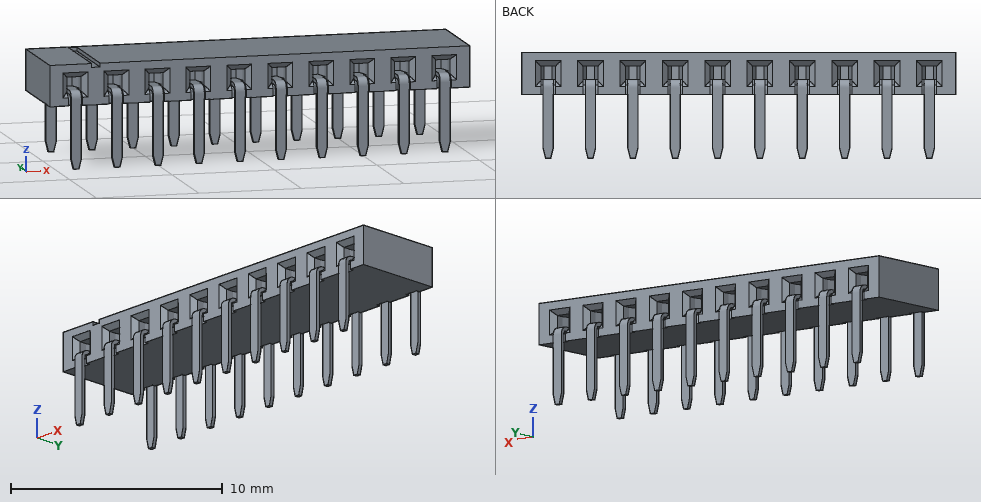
import cadquery as cq

length = 20.5
width = 4.5
height = 1.99

pin_count = 10
end_margin = 1.25
pitch = (length - 2 * end_margin) / (pin_count - 1)
pin_width = 0.5
pin_thickness = 0.195
pin_bottom = -3.01
pin_top = 0.72
bend_radius = pin_thickness * 2
tip_width = 0.25
tip_height = 0.5

funnel_size = 1.2
throat_size = 0.7
funnel_depth = (funnel_size - throat_size) / 2
throat_depth = 0.4
taper_end_width = 0.37
taper_depth = 0.65

slot_depth = 0.18
slot_floor = 0.45
slot_radius = 0.25

groove_width = 0.4
groove_depth = 0.18
groove_end_wall = 0.2

front = -width / 2
throat_start = front + funnel_depth
taper_start = throat_start + throat_depth
taper_end = taper_start + taper_depth
funnel_z = height / 2
throat_top = funnel_z + throat_size / 2
first_pin_x = end_margin - length / 2


def extrude_across(profile, thickness):
    """Extrude a closed (Y, Z) profile symmetrically about X = 0."""
    return profile.extrude(thickness / 2, both=True)


def make_block(size_x, y_start, y_end, z_start, z_end):
    """Box centred on X = 0 between the given Y and Z limits."""
    block = cq.Workplane("XY").box(size_x, y_end - y_start, z_end - z_start, centered=(True, False, False))
    return block.translate((0, y_start, z_start))


def make_cavity():
    """Empty space around one contact of the -Y row, at X = 0."""
    funnel = (
        cq.Workplane("XZ", origin=(0, front, funnel_z))
        .rect(funnel_size, funnel_size)
        .workplane(offset=-funnel_depth)
        .rect(throat_size, throat_size)
        .loft(ruled=True)
    )
    throat = make_block(throat_size, front, taper_start, slot_floor, throat_top)
    taper = (
        cq.Workplane("XY", origin=(0, 0, pin_top))
        .moveTo(-throat_size / 2, taper_start)
        .lineTo(-taper_end_width / 2, taper_end)
        .lineTo(taper_end_width / 2, taper_end)
        .lineTo(throat_size / 2, taper_start)
        .close()
        .extrude(throat_top - pin_top)
    )
    slot_profile = (
        cq.Workplane("YZ")
        .moveTo(front, 0)
        .lineTo(front + slot_depth, 0)
        .lineTo(front + slot_depth, slot_floor - slot_radius)
        .radiusArc((front + slot_depth + slot_radius, slot_floor), slot_radius)
        .lineTo(front + slot_depth + slot_radius, pin_top)
        .lineTo(front, pin_top)
        .close()
    )
    slot = extrude_across(slot_profile, throat_size)
    return funnel.union(throat).union(taper).union(slot)


def make_pin():
    """Bent contact of the -Y row at X = 0, with a tapered tip."""
    outer = front - pin_thickness
    inner_radius = bend_radius - pin_thickness
    bend_y = outer + bend_radius
    bend_z = pin_top - bend_radius
    profile = (
        cq.Workplane("YZ")
        .moveTo(outer, pin_bottom)
        .lineTo(outer, bend_z)
        .radiusArc((bend_y, pin_top), bend_radius)
        .lineTo(taper_end, pin_top)
        .lineTo(taper_end, pin_top - pin_thickness)
        .lineTo(bend_y, pin_top - pin_thickness)
        .radiusArc((front, bend_z), -inner_radius)
        .lineTo(front, pin_bottom)
        .close()
    )
    outline = (
        cq.Workplane("XZ")
        .moveTo(-tip_width / 2, pin_bottom)
        .lineTo(-pin_width / 2, pin_bottom + tip_height)
        .lineTo(-pin_width / 2, height)
        .lineTo(pin_width / 2, height)
        .lineTo(pin_width / 2, pin_bottom + tip_height)
        .lineTo(tip_width / 2, pin_bottom)
        .close()
        .extrude(width, both=True)
    )
    return extrude_across(profile, pin_width).intersect(outline)


def make_groove():
    """Marking groove volume, midway between the first two contacts."""
    groove = make_block(groove_width, front, width / 2 - groove_end_wall, height - groove_depth, height)
    return groove.translate((first_pin_x + pitch / 2, 0, 0))


def repeat_in_rows(item):
    """Copies of an item at every contact place in both rows, as one compound."""
    shape = item.val()
    copies = []
    for index in range(pin_count):
        x = first_pin_x + index * pitch
        for turn in (0, 180):
            turned = shape.rotate(cq.Vector(0, 0, 0), cq.Vector(0, 0, 1), turn)
            copies.append(turned.translate(cq.Vector(x, 0, 0)))
    return cq.Workplane(cq.Compound.makeCompound(copies))


housing = cq.Workplane("XY").box(length, width, height, centered=(True, True, False))
housing = housing.cut(make_groove()).cut(repeat_in_rows(make_cavity()))
result = cq.Workplane(housing.union(repeat_in_rows(make_pin())).solids().val())